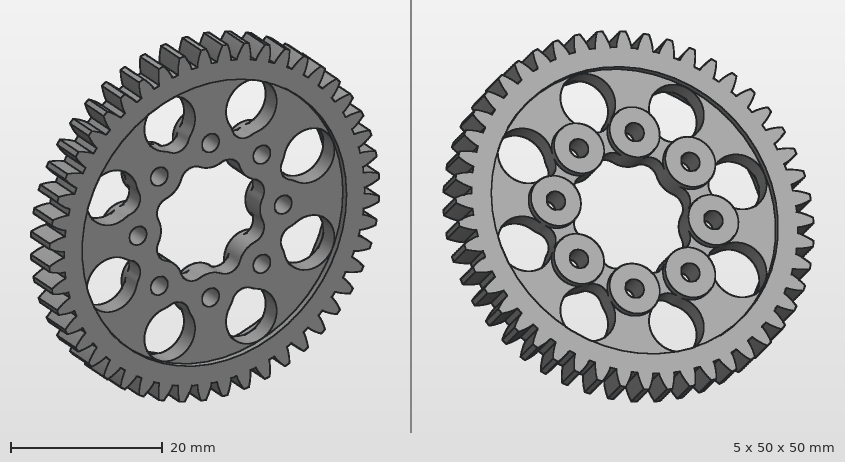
import cadquery as cq
import math

OVERALL_SIZE = 49.95
WIDTH = 5.0
TEETH = 48
PRESSURE_ANGLE = math.radians(20)
DEDENDUM_FACTOR = 1.25
FLANK_POINTS = 5

RECESS_RADIUS = 20.0
RECESS_DEPTH = 1.0
WEB_THICKNESS = WIDTH - 2 * RECESS_DEPTH
WINDOW_REACH = 19.95

BOSSES = 8
BOSS_CIRCLE_RADIUS = 11.0
BOSS_RADIUS = 3.5
BOSS_HOLE_DIAMETER = 2.6
BLEND_RADIUS = 2.0

TOOTH_PITCH = 2 * math.pi / TEETH
BOSS_PITCH = 2 * math.pi / BOSSES
HALF_BOSS_PITCH = BOSS_PITCH / 2


def involute(angle):
    return math.tan(angle) - angle


def tooth_half_angle(radius_ratio):
    """Half the angle a tooth fills at a radius given as a fraction of the pitch radius."""
    local_pressure_angle = math.acos(math.cos(PRESSURE_ANGLE) / radius_ratio)
    return TOOTH_PITCH / 4 + involute(PRESSURE_ANGLE) - involute(local_pressure_angle)


TIP_RATIO = (TEETH + 2) / TEETH
TIP_HALF_ANGLE = tooth_half_angle(TIP_RATIO)
TIP_RADIUS = OVERALL_SIZE / 2 / math.cos(TOOTH_PITCH / 2 - TIP_HALF_ANGLE)
PITCH_RADIUS = TIP_RADIUS / TIP_RATIO
MODULE = 2 * PITCH_RADIUS / TEETH
ROOT_RADIUS = PITCH_RADIUS - DEDENDUM_FACTOR * MODULE

BOSS_REACH = BOSS_CIRCLE_RADIUS * math.cos(HALF_BOSS_PITCH)
WINDOW_RADIUS = (
    (WINDOW_REACH**2 + BOSS_CIRCLE_RADIUS**2 - BOSS_RADIUS**2 - 2 * WINDOW_REACH * BOSS_REACH)
    / (2 * (WINDOW_REACH + BOSS_RADIUS - BOSS_REACH))
)
WINDOW_CENTRE_RADIUS = WINDOW_REACH - WINDOW_RADIUS

BOSS_HALF_SPACING = BOSS_CIRCLE_RADIUS * math.sin(HALF_BOSS_PITCH)
BLEND_OFFSET = math.sqrt((BOSS_RADIUS + BLEND_RADIUS) ** 2 - BOSS_HALF_SPACING**2)
OUTER_BLEND_CENTRE_RADIUS = BOSS_REACH + BLEND_OFFSET
INNER_BLEND_CENTRE_RADIUS = BOSS_REACH - BLEND_OFFSET


def polar(radius, angle):
    return (radius * math.cos(angle), radius * math.sin(angle))


def step_towards(start, target, distance):
    """Point at a distance from start along the line to target."""
    fraction = distance / math.dist(start, target)
    return (
        start[0] + fraction * (target[0] - start[0]),
        start[1] + fraction * (target[1] - start[1]),
    )


def midpoint(first, second):
    return ((first[0] + second[0]) / 2, (first[1] + second[1]) / 2)


def arc_about(sketch, centre, start, end):
    """Draw the shorter arc from start to end about centre."""
    middle = step_towards(centre, midpoint(start, end), math.dist(centre, start))
    return sketch.threePointArc(middle, end)


def gear_plane():
    """Sketch plane on the -X face; extrusions run towards +X."""
    return cq.Workplane("YZ", origin=(-WIDTH / 2, 0, 0))


def gear_blank():
    flank = []
    for step in range(FLANK_POINTS):
        radius = ROOT_RADIUS + (TIP_RADIUS - ROOT_RADIUS) * step / (FLANK_POINTS - 1)
        flank.append((radius, tooth_half_angle(radius / PITCH_RADIUS)))

    root_half_angle = flank[0][1]
    first_tooth = TOOTH_PITCH / 2
    sketch = gear_plane().moveTo(*polar(ROOT_RADIUS, first_tooth - root_half_angle))
    for tooth in range(TEETH):
        angle = first_tooth + tooth * TOOTH_PITCH
        rising = [polar(radius, angle - half_angle) for radius, half_angle in flank]
        falling = [polar(radius, angle + half_angle) for radius, half_angle in reversed(flank)]
        gap_middle = angle + TOOTH_PITCH / 2
        gap_end = angle + TOOTH_PITCH - root_half_angle
        sketch = sketch.spline(rising[1:], includeCurrent=True)
        sketch = sketch.threePointArc(polar(TIP_RADIUS, angle), falling[0])
        sketch = sketch.spline(falling[1:], includeCurrent=True)
        sketch = sketch.threePointArc(polar(ROOT_RADIUS, gap_middle), polar(ROOT_RADIUS, gap_end))
    return sketch.close().extrude(WIDTH)


def recess():
    """Disc that hollows a face inside the rim, starting at the -X face."""
    return gear_plane().circle(RECESS_RADIUS).extrude(RECESS_DEPTH)


def boss_centre(index):
    return polar(BOSS_CIRCLE_RADIUS, index * BOSS_PITCH)


def boss_point(index, side, target_radius):
    """Point on a boss facing a centre midway to the next (side 1) or previous (side -1) boss."""
    target = polar(target_radius, index * BOSS_PITCH + side * HALF_BOSS_PITCH)
    return step_towards(boss_centre(index), target, BOSS_RADIUS)


def rim_opening():
    """Opening through the web bounded by the window circles and the outer sides of the bosses."""
    sketch = gear_plane().moveTo(*boss_point(0, -1, WINDOW_CENTRE_RADIUS))
    for index in range(BOSSES):
        angle = index * BOSS_PITCH
        boss_end = boss_point(index, 1, WINDOW_CENTRE_RADIUS)
        window_end = boss_point(index + 1, -1, WINDOW_CENTRE_RADIUS)
        sketch = sketch.threePointArc(polar(BOSS_CIRCLE_RADIUS + BOSS_RADIUS, angle), boss_end)
        sketch = sketch.threePointArc(polar(WINDOW_REACH, angle + HALF_BOSS_PITCH), window_end)
    return sketch.close().extrude(WIDTH)


def rib(index):
    """Piece of web joining a boss to the next one, hollowed by a blend on either side."""
    middle_angle = index * BOSS_PITCH + HALF_BOSS_PITCH
    first_outer = boss_point(index, 1, OUTER_BLEND_CENTRE_RADIUS)
    first_inner = boss_point(index, 1, INNER_BLEND_CENTRE_RADIUS)
    second_outer = boss_point(index + 1, -1, OUTER_BLEND_CENTRE_RADIUS)
    second_inner = boss_point(index + 1, -1, INNER_BLEND_CENTRE_RADIUS)
    outer_middle = polar(OUTER_BLEND_CENTRE_RADIUS - BLEND_RADIUS, middle_angle)
    inner_middle = polar(INNER_BLEND_CENTRE_RADIUS + BLEND_RADIUS, middle_angle)

    sketch = gear_plane().workplane(offset=RECESS_DEPTH).moveTo(*first_outer)
    sketch = sketch.threePointArc(outer_middle, second_outer)
    sketch = arc_about(sketch, boss_centre(index + 1), second_outer, second_inner)
    sketch = sketch.threePointArc(inner_middle, first_inner)
    sketch = arc_about(sketch, boss_centre(index), first_inner, first_outer)
    return sketch.close().extrude(WEB_THICKNESS)


def boss(index):
    """Drilled boss, level with the rim on the -X side and with the web on the +X side."""
    target_radii = [WINDOW_CENTRE_RADIUS, OUTER_BLEND_CENTRE_RADIUS, INNER_BLEND_CENTRE_RADIUS]
    next_side = [boss_point(index, 1, radius) for radius in target_radii]
    previous_side = [boss_point(index, -1, radius) for radius in reversed(target_radii)]
    corners = next_side + previous_side

    start = corners[-1]
    sketch = gear_plane().moveTo(*start)
    for corner in corners:
        sketch = arc_about(sketch, boss_centre(index), start, corner)
        start = corner
    hole = gear_plane().center(*boss_centre(index)).circle(BOSS_HOLE_DIAMETER / 2).extrude(WIDTH)
    return sketch.close().extrude(RECESS_DEPTH + WEB_THICKNESS).cut(hole)


result = gear_blank().cut(rim_opening()).cut(recess())
result = result.cut(recess().translate((WIDTH - RECESS_DEPTH, 0, 0)))

for boss_index in range(BOSSES):
    result = result.union(boss(boss_index), clean=False)
for boss_index in range(BOSSES):
    result = result.union(rib(boss_index), clean=False)